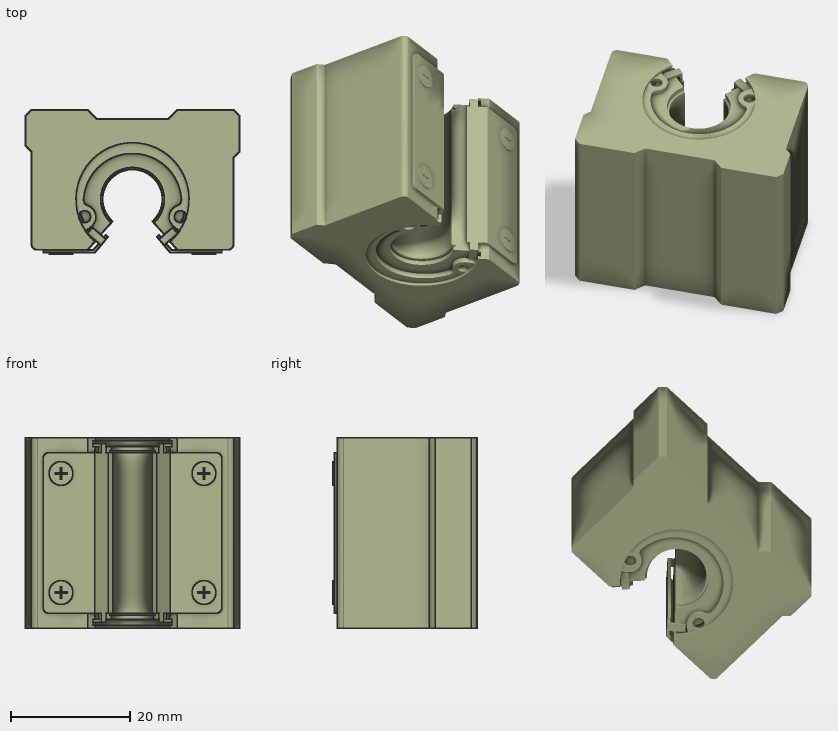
import cadquery as cq
import math

length = 32.0
half_length = length / 2

flange_half_width = 18.0
body_half_width = 17.0
side_step = flange_half_width - body_half_width
back_y = 15.0
front_y = -8.5
left_flange_depth = 6.0
right_flange_depth = 7.0
relief_top_half_width = 7.5
relief_depth = 1.5
relief_floor_half_width = relief_top_half_width - relief_depth
corner_radius = 1.0

housing_bore_radius = 9.5
slot_half_angle = 41.5
wedge_reach = 40.0

ring_groove_radius = 10.0
ring_groove_depth = 0.5
ring_groove_end = 1.5
ring_thickness = 0.9
ring_inner_radius = 8.25
ring_inner_center_y = -0.55
ring_half_angle = 56.0
lug_half_angle = 70.0
lug_center_radius = 8.75
lug_diameter = 4.13
lug_hole_center_radius = 8.55
lug_hole_diameter = 2.0
lug_blend_radius = 1.0

sleeve_end_gap = ring_groove_end
sleeve_half_length = half_length - sleeve_end_gap
sleeve_bore_radius = 5.0
sleeve_chamfer = 0.5
sleeve_opening_half_angle = 42.0
counterbore_radius = 5.35
counterbore_depth = 1.0
undercut_radius = 5.65
undercut_width = 0.3

plate_height = 27.0
plate_thickness = 0.5
plate_outer_x = -15.0
plate_bend_x = -6.35
plate_face_y = front_y - plate_thickness
plate_corner_radius = 1.0
lip_angle = 50.0
lip_length = 3.5
tab_start = 1.65
tab_width = 1.35
tab_length = 3.05
tab_thickness = 0.5

head_diameter = 4.0
head_height = 0.2
head_x = -12.0
head_z = 10.0
cross_length = 2.0
cross_width = 0.2


def disc(radius, z_low, z_high):
    """Cylinder on the bore axis between two heights."""
    return cq.Workplane("XY").workplane(offset=z_low).circle(radius).extrude(z_high - z_low)


def opening_wedge(half_angle):
    """Full-length wedge from the bore axis toward -Y."""
    corner_x = wedge_reach * math.sin(math.radians(half_angle))
    corner_y = -wedge_reach * math.cos(math.radians(half_angle))
    outline = [(0, 0), (-corner_x, corner_y), (corner_x, corner_y)]
    return cq.Workplane("XY").polyline(outline).close().extrude(half_length, both=True)


def mirrored_in_z(shape):
    return shape.mirror("XY")


def make_housing():
    left_flange_y = back_y - left_flange_depth
    right_flange_y = back_y - right_flange_depth
    outline = [
        (-body_half_width, front_y),
        (-body_half_width, left_flange_y - side_step),
        (-flange_half_width, left_flange_y),
        (-flange_half_width, back_y - side_step),
        (-body_half_width, back_y),
        (-relief_top_half_width, back_y),
        (-relief_floor_half_width, back_y - relief_depth),
        (relief_floor_half_width, back_y - relief_depth),
        (relief_top_half_width, back_y),
        (body_half_width, back_y),
        (flange_half_width, back_y - side_step),
        (flange_half_width, right_flange_y),
        (body_half_width, right_flange_y - side_step),
        (body_half_width, front_y),
    ]
    block = cq.Workplane("XY").polyline(outline).close().extrude(half_length, both=True)
    block = block.edges("|Z and <Y").fillet(corner_radius)
    block = block.cut(disc(housing_bore_radius, -half_length, half_length))
    groove = disc(ring_groove_radius, half_length - ring_groove_end, half_length - ring_groove_depth)
    block = block.cut(groove).cut(mirrored_in_z(groove))
    return block.cut(opening_wedge(slot_half_angle))


def make_sleeve():
    sleeve = disc(housing_bore_radius, -sleeve_half_length, sleeve_half_length)
    sleeve = sleeve.faces("<Z or >Z").chamfer(sleeve_chamfer)
    sleeve = sleeve.cut(disc(sleeve_bore_radius, -half_length, half_length))
    floor_z = sleeve_half_length - counterbore_depth
    recess = disc(counterbore_radius, floor_z, sleeve_half_length)
    recess = recess.union(disc(undercut_radius, floor_z, floor_z + undercut_width))
    sleeve = sleeve.cut(recess).cut(mirrored_in_z(recess))
    return sleeve.cut(opening_wedge(sleeve_opening_half_angle))


def lug_points(radius):
    """Left and right points on the lug directions at a distance from the bore axis."""
    x = radius * math.sin(math.radians(lug_half_angle))
    y = -radius * math.cos(math.radians(lug_half_angle))
    return [(-x, y), (x, y)]


def make_top_ring():
    """Open retaining ring with an eccentric inner edge and a drilled lug at each end."""
    ring_top = half_length - ring_groove_depth
    ring_bottom = ring_top - ring_thickness
    lug_centers = lug_points(lug_center_radius)
    hole_centers = lug_points(lug_hole_center_radius)
    base = cq.Workplane("XY").workplane(offset=ring_bottom)
    envelope = base.circle(ring_groove_radius).extrude(ring_thickness)
    opening = base.center(0, ring_inner_center_y).circle(ring_inner_radius).extrude(ring_thickness)
    lugs = base.pushPoints(lug_centers).circle(lug_diameter / 2).extrude(ring_thickness)
    holes = base.pushPoints(hole_centers).circle(lug_hole_diameter / 2).extrude(ring_thickness)
    opening = opening.cut(lugs)
    lug_y = lug_centers[0][1]
    blend_zone = cq.selectors.BoxSelector(
        (-ring_groove_radius, lug_y, ring_bottom),
        (ring_groove_radius, lug_y + lug_diameter, ring_top),
    )
    opening = opening.edges("|Z").edges(blend_zone).fillet(lug_blend_radius)
    ring = envelope.cut(opening).cut(opening_wedge(ring_half_angle))
    return ring.cut(holes)


def make_left_plate():
    """Bent plate with a lip along the slot, a folded tab at each end and two screw heads."""
    along_x = math.cos(math.radians(lip_angle))
    along_y = math.sin(math.radians(lip_angle))

    def lip_point(distance, inset):
        """Point at a distance up the lip from the bend, set in from the lip's outer face."""
        return (plate_bend_x + distance * along_x - inset * along_y,
                plate_face_y + distance * along_y + inset * along_x)

    def lip_prism(start, end, inset, z_low, z_high):
        """Block between two distances up the lip, as deep as the inset."""
        outline = [lip_point(start, 0), lip_point(end, 0), lip_point(end, inset), lip_point(start, inset)]
        return (cq.Workplane("XY").workplane(offset=z_low)
                .polyline(outline).close().extrude(z_high - z_low))

    inner_bend_x = plate_bend_x - plate_thickness * math.tan(math.radians(lip_angle / 2))
    profile = [
        (plate_outer_x, front_y),
        (plate_outer_x, plate_face_y),
        (plate_bend_x, plate_face_y),
        lip_point(lip_length, 0),
        lip_point(lip_length, plate_thickness),
        (inner_bend_x, front_y),
    ]
    plate = cq.Workplane("XY").polyline(profile).close().extrude(plate_height / 2, both=True)
    plate = plate.edges("|Y and <X").fillet(plate_corner_radius)

    tab_end = tab_start + tab_width
    tab_bottom = half_length - sleeve_end_gap
    tab_top = tab_bottom + tab_thickness
    tab = lip_prism(tab_start, tab_end, plate_thickness, plate_height / 2, tab_top)
    tab = tab.union(lip_prism(tab_start, tab_end, tab_length, tab_bottom, tab_top))
    plate = plate.union(tab).union(mirrored_in_z(tab))

    for z in (-head_z, head_z):
        face = cq.Workplane("XZ", origin=(head_x, plate_face_y, z))
        head = face.circle(head_diameter / 2).extrude(head_height)
        cross = face.rect(cross_length, cross_width).extrude(head_height)
        cross = cross.union(face.rect(cross_width, cross_length).extrude(head_height))
        plate = plate.union(head.cut(cross))
    return plate


housing = make_housing()
sleeve = make_sleeve()
top_ring = make_top_ring()
bottom_ring = mirrored_in_z(top_ring)
left_plate = make_left_plate()
right_plate = left_plate.mirror("YZ")

bodies = [housing, sleeve, top_ring, bottom_ring, left_plate, right_plate]
result = cq.Compound.makeCompound([body.solids().val() for body in bodies])